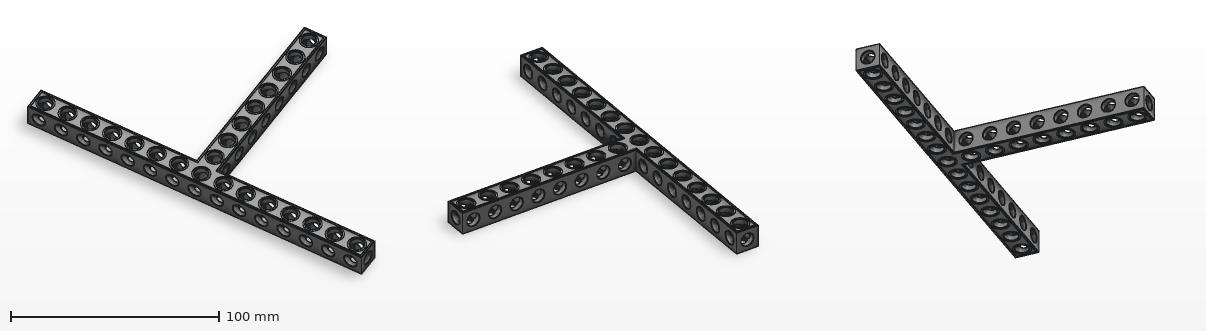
import cadquery as cq

length = 187.5
bar_cells = 15
arm_cells = 8
pitch = length / bar_cells
half = pitch / 2
arm_end = half + arm_cells * pitch

hole_radius = 7.0 / 2
collar_radius = 9.2 / 2
edge_break = 0.3
mouth_radius = hole_radius + edge_break

rim_width = 1.09
recess_depth = 0.2

bar_centres = [(i - (bar_cells - 1) / 2) * pitch for i in range(bar_cells)]
arm_centres = [(i + 1) * pitch for i in range(arm_cells)]
face_points = [(x, 0) for x in bar_centres] + [(0, y) for y in arm_centres]


def tee(inset, bottom, height):
    """T-shaped slab whose outline lies `inset` inside the outer outline of the beam."""
    end = length / 2 - inset
    side = half - inset
    outline = [
        (-end, -side),
        (end, -side),
        (end, side),
        (side, side),
        (side, arm_end - inset),
        (-side, arm_end - inset),
        (-side, side),
        (-end, side),
    ]
    return cq.Workplane("XY").workplane(offset=bottom).polyline(outline).close().extrude(height)


def recess(bottom):
    """Recess volume inside the rim, with a collar left standing around every hole."""
    collars = (
        cq.Workplane("XY")
        .workplane(offset=bottom)
        .pushPoints(face_points)
        .circle(collar_radius)
        .extrude(recess_depth)
    )
    return tee(rim_width, bottom, recess_depth).cut(collars)


def hole(start, direction, depth):
    """Through hole from `start` along `direction`, with a chamfered mouth at both ends."""
    start = cq.Vector(*start)
    direction = cq.Vector(*direction)
    end = start + direction * depth
    bore = cq.Solid.makeCylinder(hole_radius, depth, start, direction)
    near = cq.Solid.makeCone(mouth_radius, hole_radius, edge_break, start, direction)
    far = cq.Solid.makeCone(mouth_radius, hole_radius, edge_break, end, direction * -1)
    return bore.fuse(near, far)


def drill(body, tools):
    """Cut a list of hole volumes out of the body."""
    return cq.Workplane("XY").newObject([body.val().cut(*tools)])


body = tee(0, -half, pitch).faces("<Z or >Z").chamfer(edge_break)
body = body.cut(recess(half - recess_depth)).cut(recess(-half))

body = drill(body, [hole((x, y, -half), (0, 0, 1), pitch) for x, y in face_points])

y_tops = [arm_end if abs(x) < half else half for x in bar_centres]
body = drill(body, [hole((x, -half, 0), (0, 1, 0), top + half) for x, top in zip(bar_centres, y_tops)])

body = drill(body, [hole((-length / 2, 0, 0), (1, 0, 0), length)])
body = drill(body, [hole((-half, y, 0), (1, 0, 0), pitch) for y in arm_centres])

result = body